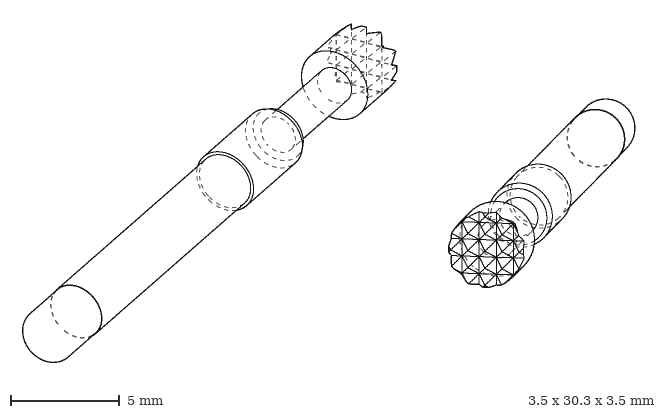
import cadquery as cq
import math


barrel_diameter = 2.7
barrel_length = 14.0
tail_diameter = 2.66
tail_length = 3.0
tail_fillet = 0.43

collar_diameter = 3.0
collar_length = 5.0
collar_taper_length = 0.4
collar_lead_diameter = 2.64

rod_diameter = 1.8
rod_length = 5.3
crown_diameter = 3.5
crown_height = 3.0

tooth_pitch = 0.8
tooth_angle = 60.0
tooth_depth = tooth_pitch / 2 / math.tan(math.radians(tooth_angle / 2))
outer_groove_index = math.ceil(crown_diameter / 2 / tooth_pitch)

tail_start = -barrel_length
crown_base = collar_length + rod_length
crown_tip = crown_base + crown_height


def cylinder(diameter, start, length):
    """Solid cylinder about the Y axis running from start towards +Y."""
    plane = cq.Plane(origin=(0, start, 0), xDir=(1, 0, 0), normal=(0, 1, 0))
    return cq.Workplane(plane).circle(diameter / 2).extrude(length)


def make_tail():
    """Closed rear plug with a rounded end."""
    tail = cylinder(tail_diameter, tail_start - tail_length, tail_length)
    return tail.faces("<Y").edges().fillet(tail_fillet)


def make_collar():
    """Collar with a tapered lead at its front end."""
    collar = cylinder(collar_diameter, 0, collar_length)
    taper_inset = (collar_diameter - collar_lead_diameter) / 2
    collar_radius = collar_diameter / 2
    taper_start = collar_length - collar_taper_length
    taper_profile = (
        cq.Workplane("XY")
        .moveTo(collar_radius, taper_start)
        .lineTo(collar_radius, collar_length)
        .lineTo(collar_radius - taper_inset, collar_length)
        .close()
    )
    return collar.cut(taper_profile.revolve(360, (0, 0, 0), (0, 1, 0)))


def make_groove(offset):
    """V groove running along Z, with its root at X = offset."""
    half_pitch = tooth_pitch / 2
    return (
        cq.Workplane("XY")
        .moveTo(offset - half_pitch, crown_tip)
        .lineTo(offset, crown_tip - tooth_depth)
        .lineTo(offset + half_pitch, crown_tip)
        .close()
        .extrude(crown_diameter, both=True)
    )


def make_crown():
    """Crown head cut by two perpendicular sets of V grooves."""
    crown = cylinder(crown_diameter, crown_base, crown_height)
    for index in range(-outer_groove_index, outer_groove_index):
        groove = make_groove((index + 0.5) * tooth_pitch)
        crown = crown.cut(groove)
        crown = crown.cut(groove.rotate((0, 0, 0), (0, 1, 0), 90))
    return crown


barrel = cylinder(barrel_diameter, tail_start, barrel_length)
rod = cylinder(rod_diameter, collar_length, rod_length)

result = make_tail().union(barrel).union(make_collar()).union(rod).union(make_crown())